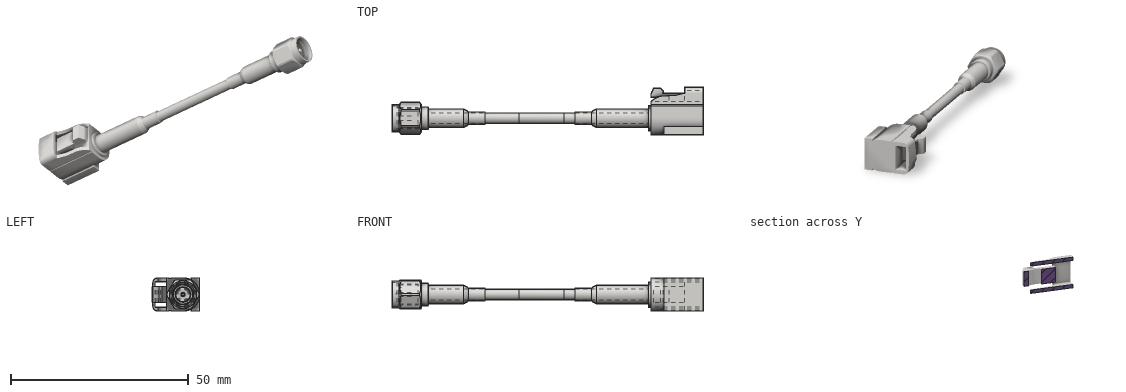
import cadquery as cq
import math

LENGTH = 87.6

NUT_RIM_RADIUS = 3.85
HEX_START = 2.0
HEX_END = 8.2
HEX_ACROSS_FLATS = 8.15
HEX_END_RADIUS = 3.85
HEX_CORNER_RADIUS = 4.55
HEX_CHAMFER_LENGTH = 0.5
NUT_MOUTH_RADIUS = 3.4
NUT_MOUTH_DEPTH = 1.4
NUT_BORE_START = 1.8
NUT_BORE_RADIUS = 3.0
NUT_BORE_END = 7.4

SLEEVE_START = 2.2
SLEEVE_RADIUS = 2.7
DIELECTRIC_RADIUS = 2.0
DIELECTRIC_RECESS = 0.35
SLEEVE_MOUTH_RADIUS = 2.2
FLANGE_RADIUS = 6.4 / 2
FLANGE_END = 10.25
FLANGE_CHAMFER = 0.2

PIN_RADIUS = 0.6
PIN_CHAMFER = 0.3
PIN_TIP = 1.05
PIN_END = 5.3

CABLE_RADIUS = 1.5
CABLE_JOINT_1 = 35.7
CABLE_JOINT_2 = 48.4

BOOT_RADIUS = 2.6
COLLAR_RADIUS = 3.6 / 2
PLUG_COLLAR_END = 26.2
HOUSING_COLLAR_END = 51.4
COLLAR_LENGTH = 4.7
BOOT_NOSE_LENGTH = 1.3
BOOT_NOSE_RADIUS = 2.2
BOOT_NOSE_LIP = 0.4

HOUSING_WIDTH = 13.5
HOUSING_HEIGHT = 9.4
RING_START = 72.2
RING_RADIUS = 3.6
HOUSING_START = 72.8
HOUSING_RADIUS = HOUSING_HEIGHT / 2
BASE_START = 76.5
BASE_TOP_Y = -2.3
GROOVE_Y = 3.7
GROOVE_WIDTH = 0.5
GROOVE_DEPTH = 0.2

GUARD_TOP_Y = HOUSING_WIDTH - HOUSING_RADIUS
GUARD_START = 82.35
GUARD_SHOULDER_Y = 8.2
GUARD_CORNER_RADIUS = 1.5
GUARD_ROOF = 1.0
GUARD_WALL = 1.1
RAIL_NOSE_MIDDLE = (74.0, 5.6)
RAIL_NOSE_END = (76.2, 6.3)
RAIL_STEP = (79.6, 6.4)
RAIL_END_Y = 7.1

LEVER_WIDTH = 4.55
LEVER_HEAD_BOTTOM_Y = 5.9
LEVER_TOP_Y = 7.1
LEVER_HEAD_TOP_Y = 8.5
LEVER_TIP_Y = 6.75
LEVER_SHOULDER_Y = 7.6
LEVER_HEAD_FRONT = 73.6
LEVER_HEAD_BACK = 75.5
LEVER_SHOULDER_X = 76.4
LEVER_ARM_START = 76.2
LEVER_HEEL_X = 74.0
LEVER_ROOT_START = 78.0
LEVER_ARM_BOTTOM_Y = 6.3


def cylinder(start, end, radius):
    """Solid cylinder on the X axis."""
    return cq.Workplane("YZ", origin=(start, 0, 0)).circle(radius).extrude(end - start)


def block(start, low_y, high_y, height):
    """Box from X = start to the housing end, centred on Z = 0."""
    corner = cq.Workplane("XY", origin=(start, low_y, 0))
    return corner.box(LENGTH - start, high_y - low_y, height, (False, False, True))


def turned(points):
    """Solid of revolution about the X axis from an (X, radius) outline."""
    return cq.Workplane("XY").polyline(points).close().revolve(360, (0, 0, 0), (1, 0, 0))


def make_nut():
    """Hexagonal coupling nut with a round rim, a stepped bore and a rear wall around the sleeve."""
    corner_diameter = HEX_ACROSS_FLATS / math.cos(math.pi / 6)
    hexagon = (
        cq.Workplane("YZ", origin=(HEX_START, 0, 0))
        .polygon(6, corner_diameter)
        .extrude(HEX_END - HEX_START)
    )
    chamfer_envelope = turned([
        (HEX_START, 0),
        (HEX_START, HEX_END_RADIUS),
        (HEX_START + HEX_CHAMFER_LENGTH, HEX_CORNER_RADIUS),
        (HEX_END - HEX_CHAMFER_LENGTH, HEX_CORNER_RADIUS),
        (HEX_END, HEX_END_RADIUS),
        (HEX_END, 0),
    ])
    nut = hexagon.intersect(chamfer_envelope).union(cylinder(0, HEX_START, NUT_RIM_RADIUS))
    bore = turned([
        (0, 0),
        (0, NUT_MOUTH_RADIUS),
        (NUT_MOUTH_DEPTH, NUT_MOUTH_RADIUS),
        (NUT_BORE_START, NUT_BORE_RADIUS),
        (NUT_BORE_END, NUT_BORE_RADIUS),
        (NUT_BORE_END, SLEEVE_RADIUS),
        (HEX_END, SLEEVE_RADIUS),
        (HEX_END, 0),
    ])
    return nut.cut(bore)


def make_plug_body():
    """Sleeve and rear flange, with the dielectric face set back and a hole for the pin."""
    flange = cylinder(HEX_END, FLANGE_END, FLANGE_RADIUS).faces(">X").chamfer(FLANGE_CHAMFER)
    body = flange.union(cylinder(SLEEVE_START, HEX_END, SLEEVE_RADIUS))
    recess_floor = SLEEVE_START + DIELECTRIC_RECESS
    recess = turned([
        (SLEEVE_START, 0),
        (SLEEVE_START, SLEEVE_MOUTH_RADIUS),
        (recess_floor, DIELECTRIC_RADIUS),
        (recess_floor, 0),
    ])
    body = body.cut(recess)
    return body.cut(cylinder(SLEEVE_START, PIN_END, PIN_RADIUS))


def make_pin():
    """Centre pin standing out of the dielectric face."""
    return cylinder(PIN_TIP, PIN_END, PIN_RADIUS).faces("<X").chamfer(PIN_CHAMFER)


def make_cable_boot(back, collar_end):
    """Boot whose wide end is at X = back and whose thin collar ends at X = collar_end."""
    toward_back = math.copysign(1, back - collar_end)
    nose = collar_end + toward_back * COLLAR_LENGTH
    return turned([
        (collar_end, CABLE_RADIUS),
        (collar_end, COLLAR_RADIUS),
        (nose, COLLAR_RADIUS),
        (nose + toward_back * BOOT_NOSE_LIP, BOOT_NOSE_RADIUS),
        (nose + toward_back * BOOT_NOSE_LENGTH, BOOT_RADIUS),
        (back, BOOT_RADIUS),
        (back, CABLE_RADIUS),
    ])


def make_housing_core():
    """Round-sided block with a wider base on the -Y side and a ring around the cable entry."""
    round_side = cylinder(HOUSING_START, LENGTH, HOUSING_RADIUS)
    square_side = block(HOUSING_START, 0, HOUSING_RADIUS, HOUSING_HEIGHT)
    base = block(BASE_START, -HOUSING_RADIUS, BASE_TOP_Y, HOUSING_HEIGHT)
    ring = cylinder(RING_START, HOUSING_START, RING_RADIUS)
    return round_side.union(square_side).union(base).union(ring)


def make_guard():
    """Hollow frame over the latch, with side rails that slope down toward the cable."""
    half_height = HOUSING_HEIGHT / 2
    frame = (
        cq.Workplane("YZ", origin=(HOUSING_START, 0, 0))
        .moveTo(HOUSING_RADIUS, -half_height)
        .lineTo(GUARD_SHOULDER_Y, -half_height)
        .threePointArc((GUARD_TOP_Y, 0), (GUARD_SHOULDER_Y, half_height))
        .lineTo(HOUSING_RADIUS, half_height)
        .close()
        .extrude(LENGTH - HOUSING_START)
        .edges("|X").edges(">Y").fillet(GUARD_CORNER_RADIUS)
    )
    side_outline = (
        cq.Workplane("XY", origin=(0, 0, -half_height))
        .moveTo(HOUSING_START, HOUSING_RADIUS)
        .threePointArc(RAIL_NOSE_MIDDLE, RAIL_NOSE_END)
        .lineTo(*RAIL_STEP)
        .lineTo(GUARD_START, RAIL_END_Y)
        .lineTo(GUARD_START, GUARD_TOP_Y)
        .lineTo(LENGTH, GUARD_TOP_Y)
        .lineTo(LENGTH, HOUSING_RADIUS)
        .close()
        .extrude(HOUSING_HEIGHT)
    )
    opening_height = HOUSING_HEIGHT - 2 * GUARD_WALL
    opening = block(HOUSING_START, HOUSING_RADIUS, GUARD_TOP_Y - GUARD_ROOF, opening_height)
    return frame.intersect(side_outline).cut(opening)


def make_lever():
    """Latch lever with a thumb head, rooted on the block inside the guard."""
    return (
        cq.Workplane("XY", origin=(0, 0, -LEVER_WIDTH / 2))
        .moveTo(HOUSING_START, LEVER_HEAD_BOTTOM_Y)
        .lineTo(HOUSING_START, LEVER_TIP_Y)
        .lineTo(LEVER_HEAD_FRONT, LEVER_HEAD_TOP_Y)
        .lineTo(LEVER_HEAD_BACK, LEVER_HEAD_TOP_Y)
        .lineTo(LEVER_SHOULDER_X, LEVER_SHOULDER_Y)
        .lineTo(LEVER_ARM_START, LEVER_TOP_Y)
        .lineTo(GUARD_START, LEVER_TOP_Y)
        .lineTo(GUARD_START, HOUSING_RADIUS)
        .lineTo(LEVER_ROOT_START, HOUSING_RADIUS)
        .lineTo(LEVER_ROOT_START, LEVER_ARM_BOTTOM_Y)
        .lineTo(LEVER_ARM_START, LEVER_ARM_BOTTOM_Y)
        .lineTo(LEVER_HEEL_X, LEVER_HEAD_BOTTOM_Y)
        .close()
        .extrude(LEVER_WIDTH)
    )


def make_groove_cutter():
    """Narrow groove along the top and bottom faces."""
    grooved_height = 2 * (HOUSING_RADIUS - GROOVE_DEPTH)
    groove_band = cq.Workplane("XY").box(LENGTH, GROOVE_WIDTH, HOUSING_HEIGHT, (False, True, True))
    kept_middle = cq.Workplane("XY").box(LENGTH, GROOVE_WIDTH, grooved_height, (False, True, True))
    return groove_band.cut(kept_middle).translate((0, GROOVE_Y, 0))


def make_housing():
    """Housing with its latch guard and lever in one piece."""
    housing = make_housing_core().union(make_guard()).union(make_lever())
    return housing.cut(make_groove_cutter())


nut = make_nut()
plug_body = make_plug_body()
pin = make_pin()
boot_ends = [(FLANGE_END, PLUG_COLLAR_END), (RING_START, HOUSING_COLLAR_END)]
boots = [make_cable_boot(back, collar_end) for back, collar_end in boot_ends]
cable_ends = [FLANGE_END, CABLE_JOINT_1, CABLE_JOINT_2, RING_START]
cable_lengths = [
    cylinder(start, end, CABLE_RADIUS) for start, end in zip(cable_ends, cable_ends[1:])
]
housing = make_housing()

result = cq.Compound.makeCompound([
    nut.val(),
    plug_body.val(),
    pin.val(),
    *[boot.val() for boot in boots],
    *[length.val() for length in cable_lengths],
    housing.val(),
])